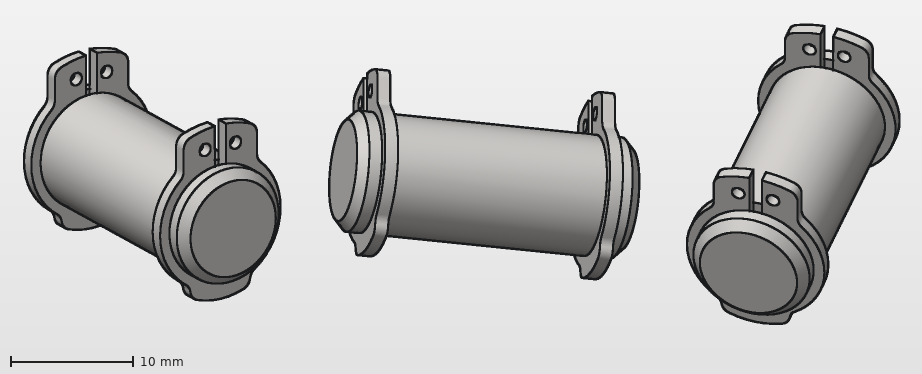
import cadquery as cq
import math

pin_length = 24.0
pin_radius = 5.0
end_chamfer = 0.82
groove_radius = 4.0

ring_radius = 5.9
ring_thickness = 1.1
ring_inset = 1.9

ear_tip_radius = 8.5
ear_half_width = 3.6
ear_gap = 1.08
ear_fillet = 1.0
hole_diameter = 1.08
hole_offset = 1.5
hole_height = 6.6

tab_tip_radius = 6.8
tab_root_half_width = 3.02
tab_tip_half_width = 2.8
tab_fillet = 1.0


def make_pin():
    pin = cq.Workplane("YZ").circle(pin_radius).extrude(pin_length / 2, both=True)
    return pin.faces("<X or >X").chamfer(end_chamfer)


def disc(radius):
    return cq.Workplane("YZ").circle(radius).extrude(ring_thickness)


def corner_height(radius, half_width):
    """Height above the axis at which a circle reaches the given half width."""
    return math.sqrt(radius**2 - half_width**2)


def fillet_corners(body, y, z, radius):
    """Round the pair of thickness edges at (+y, z) and (-y, z)."""
    for side in (-1, 1):
        corner = cq.selectors.NearestToPointSelector((ring_thickness / 2, side * y, z))
        body = body.edges("|X").edges(corner).fillet(radius)
    return body


def make_ring():
    """Ring outline as a solid plate, its left face on X = 0, bored to sit in a pin groove."""
    ears = cq.Workplane("YZ").rect(2 * ear_half_width, ear_tip_radius, centered=(True, False))
    ears = ears.extrude(ring_thickness).intersect(disc(ear_tip_radius))

    tab_root_depth = corner_height(ring_radius, tab_root_half_width)
    tab_tip_depth = corner_height(tab_tip_radius, tab_tip_half_width)
    tab = (
        cq.Workplane("YZ")
        .moveTo(0, 0)
        .lineTo(tab_root_half_width, -tab_root_depth)
        .lineTo(tab_tip_half_width, -tab_tip_depth)
        .threePointArc((0, -tab_tip_radius), (-tab_tip_half_width, -tab_tip_depth))
        .lineTo(-tab_root_half_width, -tab_root_depth)
        .close()
        .extrude(ring_thickness)
    )
    ring = disc(ring_radius).union(ears).union(tab)

    for radius in (ring_radius, ear_tip_radius):
        ear_corner = corner_height(radius, ear_half_width)
        ring = fillet_corners(ring, ear_half_width, ear_corner, ear_fillet)
    ring = fillet_corners(ring, tab_tip_half_width, -tab_tip_depth, tab_fillet)
    ring = fillet_corners(ring, tab_root_half_width, -tab_root_depth, tab_fillet)

    gap = cq.Workplane("YZ").rect(ear_gap, ear_tip_radius, centered=(True, False))
    gap = gap.extrude(ring_thickness)
    holes = (
        cq.Workplane("YZ")
        .pushPoints([(-hole_offset, hole_height), (hole_offset, hole_height)])
        .circle(hole_diameter / 2)
        .extrude(ring_thickness)
    )
    return ring.cut(gap).cut(holes).cut(disc(groove_radius))


left_ring_x = -pin_length / 2 + ring_inset
right_ring_x = pin_length / 2 - ring_inset - ring_thickness

result = make_pin()
ring = make_ring()
groove = disc(pin_radius).cut(disc(groove_radius))
for ring_x in (left_ring_x, right_ring_x):
    ring_place = (ring_x, 0, 0)
    result = result.cut(groove.translate(ring_place)).union(ring.translate(ring_place))